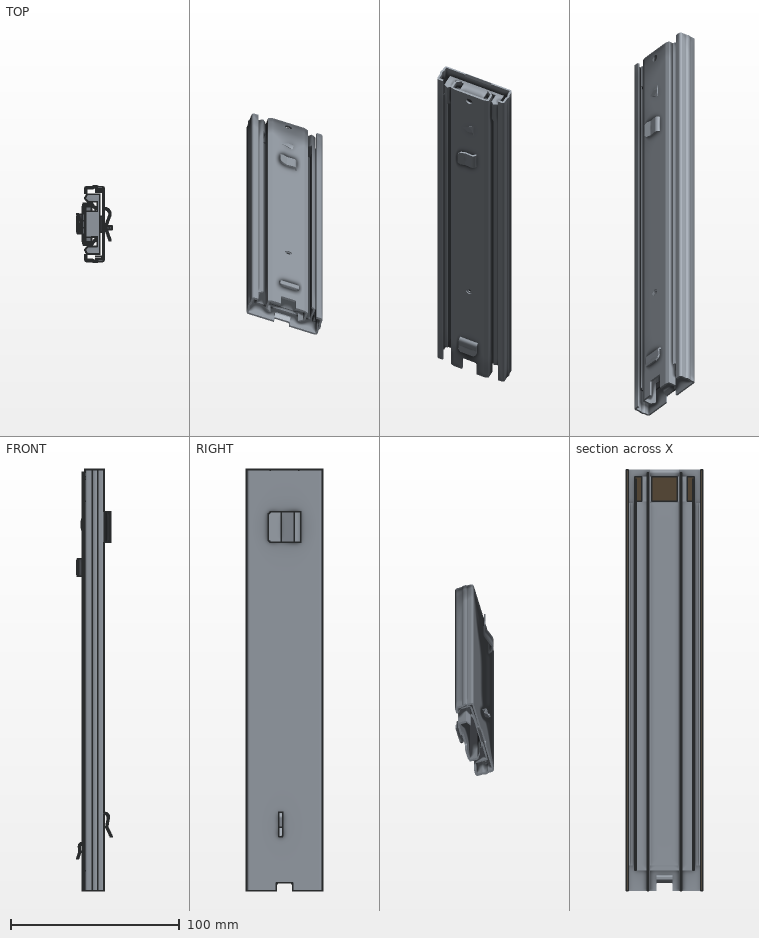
import cadquery as cq
import math


OVERALL_DEPTH = 21.0

LENGTH = 250.0
OUTER_FRONT = -5.8
OUTER_BACK = 5.8
OUTER_HALF = 22.2
OUTER_WALL = 1.2
OUTER_WEB = 1.0
OUTER_CORNER_RADIUS = 1.5
OUTER_LIP_END = 18.2
BEAD_FRONT = -1.2
BEAD_BACK = 2.0
OUTER_OVERALL_HALF = 22.8
OUTER_NOTCH_HEIGHT = 4.8
OUTER_TOP_RELIEF_HALF = 8.5
OUTER_TOP_RELIEF_HEIGHT = 1.8
OUTER_TOP_RELIEF_DEPTH = 0.8
STOP_FRONT = 3.0
STOP_NOSE_BOTTOM = 6.8
STOP_NOSE_TOP = 8.2
STOP_TOP = 9.5

MIDDLE_BOTTOM = 12.0
BUMPER_TOP = 245.8
BUMPER_CAP_HEIGHT = 1.5
MIDDLE_TOP = BUMPER_TOP - BUMPER_CAP_HEIGHT
MIDDLE_WALL = 1.0
MIDDLE_BACK = 3.2
MIDDLE_FRONT = -5.8
MIDDLE_SHOULDER = -4.5
MIDDLE_HALF = 17.8
MIDDLE_LIP_END = 15.2
BUMPER_BOTTOM = 231.0
EAR_INNER = 13.2
EAR_INNER_FRONT = -4.0
BLOCK_FRONT = -5.2
BLOCK_HALF = 7.8
SHOULDER_BACK = -1.8
SHOULDER_HALF = 10.5
SHOULDER_TOP = MIDDLE_TOP
BUMPER_PLATE_FRONT = 1.5

INNER_TOP = 248.2
INNER_FRONT = -7.2
INNER_WALL = 1.2
INNER_HALF = 12.5
INNER_BEVEL_START = 10.0
INNER_BEVEL_DEPTH = 0.8
INNER_FLANGE_BACK = -1.5
INNER_LIP_BACK = 0.5
INNER_LIP_HALF = 9.8
NOTCH_WIDTH = 9.5
NOTCH_HEIGHT = 10.0
NOTCH_RADIUS = 1.0
TOP_HOLE_Z = 242.5
TOP_HOLE_DIAMETER = 4.2
LOW_HOLE_Z = 72.0
LOW_HOLE_DIAMETER = 2.2
LOW_SINK_DIAMETER = 4.2
LOW_SINK_DEPTH = 0.5
ARROW_Z = 217.2
ARROW_POINT_Y = 4.5
ARROW_BASE_Y = -2.8
ARROW_HEIGHT = 8.0
ARROW_RIDGE_HEIGHT = 1.5
ARROW_RISE = 0.8

CAGE_BOTTOM = 15.0
CAGE_TOP = 230.0
CAGE_WALL = 0.5
OUTER_CAGE_FRONT = 0.8
OUTER_CAGE_BACK = OUTER_BACK - OUTER_WEB
OUTER_CAGE_INNER = 19.0
OUTER_CAGE_OUTER = OUTER_HALF - OUTER_WALL
INNER_CAGE_FRONT = 0.8
INNER_CAGE_BACK = 2.2
INNER_CAGE_HALF = 10.2
INNER_CAGE_WEB_HALF = 8.0

TONGUE_WALL = 1.0
FLARE_SHARE = 0.6
TONGUE_CORNER = 1.5

HOOK_RISE = 2.2
HOOK_WAIST = 2.0
HOOK_TIP_RISE = OVERALL_DEPTH / 2 + INNER_FRONT
SIDE_HOOK_LENGTH = 11.0
SIDE_HOOK_WIDTH = 10.5
SIDE_HOOK_ROOT_Y = -5.0
SIDE_HOOK_Z = 191.8
DOWN_HOOK_LENGTH = 9.5
DOWN_HOOK_WIDTH = 11.8
DOWN_HOOK_TOP = 28.5

WIDE_HOOK_LENGTH = 19.5
WIDE_HOOK_WIDTH = 18.2
WIDE_HOOK_RISE = 4.0
WIDE_HOOK_WAIST = 1.2
WIDE_HOOK_Z = 215.8
SPRING_LENGTH = 14.5
SPRING_WIDTH = 2.5
SPRING_RISE = 3.0
SPRING_WAIST = 2.0
SPRING_TIP_RISE = OVERALL_DEPTH / 2 - OUTER_BACK
SPRING_Y = -2.2
SPRING_TOP = 46.5


def mirrored_outline(half):
    """Full outline made of a +Y half outline, an open chain of points, and its mirror image about Y = 0."""
    return half + [(x, -y) for x, y in reversed(half)]


def prism(points, bottom, top):
    """Extrude an XY outline between two heights."""
    return cq.Workplane("XY").workplane(offset=bottom).polyline(points).close().extrude(top - bottom)


def box(x_range, y_range, z_range):
    """Box between two limits on each axis."""
    (x0, x1), (y0, y1), (z0, z1) = x_range, y_range, z_range
    return cq.Workplane("XY").box(x1 - x0, y1 - y0, z1 - z0, centered=False).translate((x0, y0, z0))


def notch(height):
    """Round-cornered cutter for the bottom end of a rail, long enough to pass through either web."""
    through = (-OVERALL_DEPTH / 2, OVERALL_DEPTH / 2)
    cutter = box(through, (-NOTCH_WIDTH / 2, NOTCH_WIDTH / 2), (-height, height))
    return cutter.edges("|X").fillet(NOTCH_RADIUS)


def tongue(length, width, rise, waist, tip_rise):
    """Tongue lying along -Z on a face at X = 0: a rounded root, a run down to a waist and a flared tip.

    It stands out toward -X, starts at Z = 0 and is centred on Y = 0. The rise, waist and tip rise
    are the distances of its outer surface from the face.
    """
    flare_start = FLARE_SHARE * length
    inner_rise = rise - TONGUE_WALL
    middle = math.sqrt(0.5)
    body = (
        cq.Workplane("XZ")
        .moveTo(0, 0)
        .threePointArc((-rise * middle, rise * (middle - 1)), (-rise, -rise))
        .lineTo(-waist, -flare_start)
        .lineTo(-tip_rise, -length)
        .lineTo(TONGUE_WALL - tip_rise, -length)
        .lineTo(TONGUE_WALL - waist, -flare_start)
        .lineTo(-inner_rise, -rise)
        .threePointArc((-inner_rise * middle, inner_rise * middle - rise), (0, -TONGUE_WALL))
        .close()
        .extrude(width / 2, both=True)
    )
    half = width / 2
    corner = min(TONGUE_CORNER, half / 2)
    plan = [
        (-half, 0), (half, 0), (half, corner - length),
        (half - corner, -length), (corner - half, -length), (-half, corner - length),
    ]
    return body.intersect(cq.Workplane("YZ").polyline(plan).close().extrude(2 * tip_rise, both=True))


def turned_to_side(shape):
    """Turn a tongue about X so that it runs toward +Y."""
    return shape.rotate((0, 0, 0), (1, 0, 0), 90)


def facing_back(shape):
    """Turn a tongue about Z so that it stands out toward +X."""
    return shape.rotate((0, 0, 0), (0, 0, 1), 180)


def bead(base_half):
    """Full-length bead with an arched back, standing on the plane Y = base_half."""
    top_half = base_half + OUTER_OVERALL_HALF - OUTER_HALF
    return (
        cq.Workplane("XY")
        .moveTo(BEAD_FRONT, base_half)
        .threePointArc(((BEAD_FRONT + BEAD_BACK) / 2, top_half), (BEAD_BACK, base_half))
        .close()
        .extrude(LENGTH)
    )


def make_outer_rail():
    """Channel with rounded corners, beaded flanges, an end notch and stop, and two hooks on its back."""
    inner_half = OUTER_HALF - OUTER_WALL
    web_front = OUTER_BACK - OUTER_WEB
    half = [
        (OUTER_BACK, OUTER_HALF),
        (OUTER_FRONT, OUTER_HALF),
        (OUTER_FRONT, OUTER_LIP_END),
        (OUTER_FRONT + OUTER_WALL, OUTER_LIP_END),
        (OUTER_FRONT + OUTER_WALL, inner_half),
        (web_front, inner_half),
    ]
    rail = prism(mirrored_outline(half), 0, LENGTH)
    rail = rail.edges("|Z").edges("<X or >X").edges(">Y or <Y").fillet(OUTER_CORNER_RADIUS)
    rail = rail.union(bead(OUTER_HALF)).union(bead(OUTER_HALF).mirror("XZ"))
    rail = rail.cut(bead(inner_half)).cut(bead(inner_half).mirror("XZ"))
    rail = rail.cut(notch(OUTER_NOTCH_HEIGHT))

    relief = (
        cq.Workplane("XZ")
        .moveTo(web_front, LENGTH - OUTER_TOP_RELIEF_HEIGHT)
        .lineTo(web_front + OUTER_TOP_RELIEF_DEPTH, LENGTH)
        .lineTo(web_front, LENGTH)
        .close()
        .extrude(OUTER_TOP_RELIEF_HALF, both=True)
    )
    rail = rail.cut(relief)

    stop_profile = [
        (web_front, OUTER_NOTCH_HEIGHT), (STOP_FRONT, STOP_NOSE_BOTTOM),
        (STOP_FRONT, STOP_NOSE_TOP), (web_front, STOP_TOP),
    ]
    stop = cq.Workplane("XZ").polyline(stop_profile).close().extrude(NOTCH_WIDTH / 2, both=True)
    rail = rail.union(stop)

    wide_hook = tongue(WIDE_HOOK_LENGTH, WIDE_HOOK_WIDTH, WIDE_HOOK_RISE, WIDE_HOOK_WAIST, WIDE_HOOK_RISE)
    wide_hook = facing_back(turned_to_side(wide_hook))
    rail = rail.union(wide_hook.translate((OUTER_BACK, WIDE_HOOK_LENGTH / 2, WIDE_HOOK_Z)))

    spring_hook = tongue(SPRING_LENGTH, SPRING_WIDTH, SPRING_RISE, SPRING_WAIST, SPRING_TIP_RISE)
    return rail.union(facing_back(spring_hook).translate((OUTER_BACK, SPRING_Y, SPRING_TOP)))


def make_middle_rail():
    """Channel that opens toward -X, with lips that lean toward the open side."""
    inner_half = MIDDLE_HALF - MIDDLE_WALL
    half = [
        (MIDDLE_BACK, MIDDLE_HALF),
        (MIDDLE_SHOULDER, MIDDLE_HALF),
        (MIDDLE_FRONT, MIDDLE_LIP_END),
        (MIDDLE_FRONT + MIDDLE_WALL, MIDDLE_LIP_END),
        (MIDDLE_SHOULDER + MIDDLE_WALL / 2, inner_half),
        (MIDDLE_BACK - MIDDLE_WALL, inner_half),
    ]
    return prism(mirrored_outline(half), MIDDLE_BOTTOM, MIDDLE_TOP)


def make_bumper(middle_rail):
    """Plug in the upper end of the middle rail: a centre block, two ears and a cap over the rail end."""
    half = [
        (MIDDLE_BACK, MIDDLE_HALF),
        (MIDDLE_SHOULDER, MIDDLE_HALF),
        (MIDDLE_FRONT, MIDDLE_LIP_END),
        (EAR_INNER_FRONT, EAR_INNER),
        (BUMPER_PLATE_FRONT, EAR_INNER),
        (BUMPER_PLATE_FRONT, BLOCK_HALF),
        (BLOCK_FRONT, BLOCK_HALF),
    ]
    bumper = prism(mirrored_outline(half), BUMPER_BOTTOM, BUMPER_TOP)
    shoulder = box(
        (BLOCK_FRONT, SHOULDER_BACK), (-SHOULDER_HALF, SHOULDER_HALF), (BUMPER_BOTTOM, SHOULDER_TOP)
    )
    return bumper.union(shoulder).cut(middle_rail)


def make_arrow():
    """Raised triangle that points toward +Y and climbs to a short ridge at its base."""
    ridge_x = INNER_FRONT - ARROW_RISE
    half_base = ARROW_HEIGHT / 2
    side = (
        cq.Workplane("XY")
        .moveTo(INNER_FRONT, ARROW_POINT_Y)
        .lineTo(INNER_FRONT, ARROW_BASE_Y)
        .lineTo(ridge_x, ARROW_BASE_Y)
        .close()
        .extrude(half_base, both=True)
    )
    plan = (
        cq.Workplane("YZ")
        .workplane(offset=ridge_x)
        .moveTo(ARROW_POINT_Y, 0)
        .lineTo(ARROW_BASE_Y, half_base)
        .lineTo(ARROW_BASE_Y, -half_base)
        .close()
        .extrude(ARROW_RISE)
    )
    end_profile = [
        (INNER_FRONT, half_base), (ridge_x, ARROW_RIDGE_HEIGHT / 2),
        (ridge_x, -ARROW_RIDGE_HEIGHT / 2), (INNER_FRONT, -half_base),
    ]
    roof = cq.Workplane("XZ").polyline(end_profile).close().extrude(ARROW_HEIGHT, both=True)
    return side.intersect(plan).intersect(roof).translate((0, 0, ARROW_Z))


def make_inner_rail():
    """Channel with bevelled corners, inclined lips, an end notch, two holes, an arrow and two hooks."""
    face_back = INNER_FRONT + INNER_WALL
    flange_inner = INNER_HALF - INNER_WALL
    half = [
        (INNER_FRONT, INNER_BEVEL_START),
        (INNER_FRONT + INNER_BEVEL_DEPTH, INNER_HALF),
        (INNER_FLANGE_BACK, INNER_HALF),
        (INNER_LIP_BACK, INNER_LIP_HALF),
        (INNER_LIP_BACK, INNER_LIP_HALF - INNER_WALL),
        (INNER_FLANGE_BACK, flange_inner),
        (face_back, flange_inner),
    ]
    rail = prism(mirrored_outline(half), 0, INNER_TOP).cut(notch(NOTCH_HEIGHT))

    face = cq.Workplane("YZ").workplane(offset=INNER_FRONT)
    rail = rail.cut(face.center(0, TOP_HOLE_Z).circle(TOP_HOLE_DIAMETER / 2).extrude(INNER_WALL))
    low_hole = face.center(0, LOW_HOLE_Z)
    rail = rail.cut(low_hole.circle(LOW_HOLE_DIAMETER / 2).extrude(INNER_WALL))
    rail = rail.cut(low_hole.circle(LOW_SINK_DIAMETER / 2).extrude(LOW_SINK_DEPTH))
    rail = rail.union(make_arrow())

    side_hook = tongue(SIDE_HOOK_LENGTH, SIDE_HOOK_WIDTH, HOOK_RISE, HOOK_WAIST, HOOK_TIP_RISE)
    rail = rail.union(turned_to_side(side_hook).translate((INNER_FRONT, SIDE_HOOK_ROOT_Y, SIDE_HOOK_Z)))

    down_hook = tongue(DOWN_HOOK_LENGTH, DOWN_HOOK_WIDTH, HOOK_RISE, HOOK_WAIST, HOOK_TIP_RISE)
    return rail.union(down_hook.translate((INNER_FRONT, 0, DOWN_HOOK_TOP)))


def make_outer_cage(side):
    """Ball cage between the flanges of the outer and middle rails; side is +1 or -1 along Y."""
    points = [
        (OUTER_CAGE_FRONT, OUTER_CAGE_INNER),
        (OUTER_CAGE_BACK, OUTER_CAGE_INNER),
        (OUTER_CAGE_BACK, OUTER_CAGE_OUTER),
        (OUTER_CAGE_FRONT, OUTER_CAGE_OUTER),
        (OUTER_CAGE_FRONT, OUTER_CAGE_OUTER - CAGE_WALL),
        (OUTER_CAGE_BACK - CAGE_WALL, OUTER_CAGE_OUTER - CAGE_WALL),
        (OUTER_CAGE_BACK - CAGE_WALL, OUTER_CAGE_INNER + CAGE_WALL),
        (OUTER_CAGE_FRONT, OUTER_CAGE_INNER + CAGE_WALL),
    ]
    return prism([(x, side * y) for x, y in points], CAGE_BOTTOM, CAGE_TOP)


def make_inner_cage():
    """Ball cage behind the inner rail: a flat web with two arms that slope forward."""
    half = [
        (INNER_CAGE_BACK, INNER_CAGE_WEB_HALF),
        (INNER_CAGE_FRONT + CAGE_WALL, INNER_CAGE_HALF),
        (INNER_CAGE_FRONT, INNER_CAGE_HALF),
        (INNER_CAGE_BACK - CAGE_WALL, INNER_CAGE_WEB_HALF),
    ]
    return prism(mirrored_outline(half), CAGE_BOTTOM, CAGE_TOP)


outer_rail = make_outer_rail()
middle_rail = make_middle_rail()
bumper = make_bumper(middle_rail)
inner_rail = make_inner_rail()
inner_cage = make_inner_cage()
outer_cages = [make_outer_cage(side) for side in (1, -1)]

result = cq.Compound.makeCompound([
    outer_rail.val(),
    middle_rail.val(),
    bumper.val(),
    inner_rail.val(),
    inner_cage.val(),
    *[cage.val() for cage in outer_cages],
])